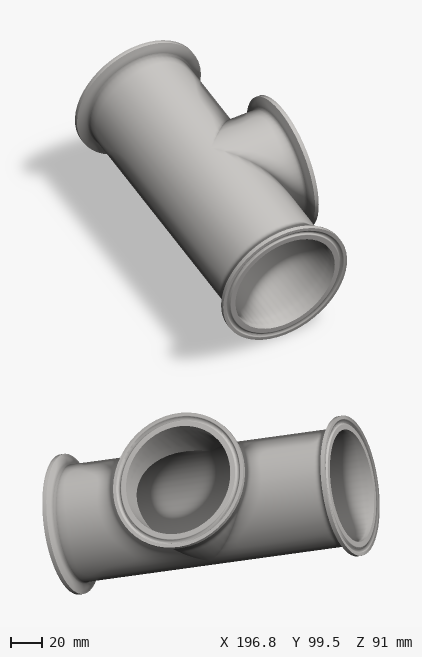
import cadquery as cq
import math

run_length = 196.8
branch_reach = 54.0
tube_diameter = 76.2
bore_diameter = 72.8

flange_diameter = 91.0
rim_thickness = 2.8
back_angle = 20.0
neck_fillet = 1.4

groove_pitch_diameter = 83.0
groove_width = 2.8
groove_depth = 1.2
groove_lip_round = 0.5

tube_radius = tube_diameter / 2
flange_radius = flange_diameter / 2
cone_length = (flange_radius - tube_radius) * math.tan(math.radians(back_angle))
flange_depth = rim_thickness + cone_length


def flange():
    """Solid flange on the Z axis, end face at Z = 0 and body towards +Z."""
    profile = [
        (0, 0),
        (flange_radius, 0),
        (flange_radius, rim_thickness),
        (tube_radius, flange_depth),
        (tube_radius, flange_depth + 2 * neck_fillet),
        (0, flange_depth + 2 * neck_fillet),
    ]
    body = cq.Workplane("XZ").polyline(profile).close().revolve(360, (0, 0), (0, 1))
    at_neck = cq.selectors.BoxSelector(
        (-flange_radius, -flange_radius, flange_depth - neck_fillet / 2),
        (flange_radius, flange_radius, flange_depth + neck_fillet / 2),
    )
    return body.edges("%CIRCLE").edges(at_neck).fillet(neck_fillet)


def gasket_groove():
    """Ring with a round floor, to cut from an end face lying at Z = 0."""
    pitch_radius = groove_pitch_diameter / 2
    half_width = groove_width / 2
    return (
        cq.Workplane("XZ")
        .moveTo(pitch_radius - half_width, 0)
        .threePointArc((pitch_radius, groove_depth), (pitch_radius + half_width, 0))
        .close()
        .revolve(360, (0, 0), (0, 1))
    )


def ferrule():
    """Flange with its gasket groove, the groove lips rounded."""
    grooved = flange().cut(gasket_groove())
    lip_reach = (groove_pitch_diameter + groove_width) / 2 + groove_lip_round
    at_lips = cq.selectors.BoxSelector(
        (-lip_reach, -lip_reach, -groove_lip_round),
        (lip_reach, lip_reach, groove_lip_round),
        boundingbox=True,
    )
    return grooved.edges("%CIRCLE").edges(at_lips).fillet(groove_lip_round)


def along_run(shape):
    """Turn a shape from the Z axis to the X axis."""
    return shape.rotate((0, 0, 0), (0, 1, 0), 90)


def tee(diameter):
    """Solid tee: the full run along X and the branch from the run axis to +Y."""
    run = cq.Workplane("YZ").circle(diameter / 2).extrude(run_length / 2, both=True)
    branch = cq.Workplane("XZ").circle(diameter / 2).extrude(-branch_reach)
    return run.union(branch)


left_end = along_run(ferrule()).translate((-run_length / 2, 0, 0))
right_end = left_end.mirror("YZ")
branch_end = ferrule().rotate((0, 0, 0), (1, 0, 0), 90).translate((0, branch_reach, 0))

result = tee(tube_diameter)
for end in (left_end, right_end, branch_end):
    result = result.union(end)
result = result.cut(tee(bore_diameter))